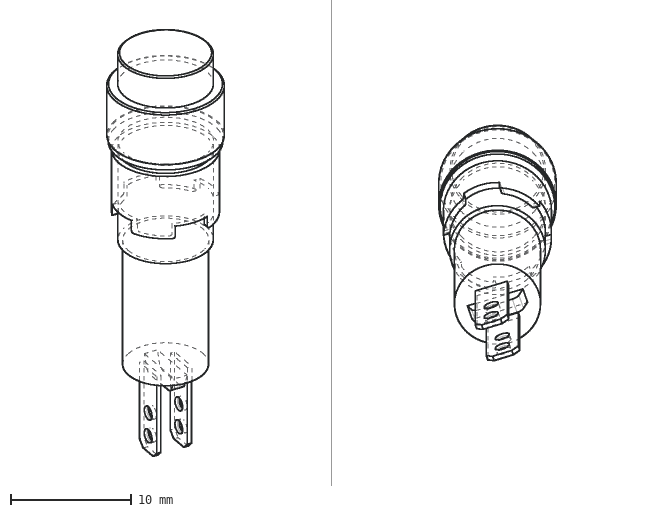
import cadquery as cq

BARREL_BOTTOM = 7.98
COLLAR_BOTTOM = 20.0
SLEEVE_BOTTOM = 22.7
SLOT_TOP = 23.85
SLEEVE_TOP = 28.7
BEZEL_BOTTOM = 29.5
BEZEL_STEP = 30.05
BEZEL_TOP = 35.0
BUTTON_TOP = 38.0

BARREL_DIAMETER = 7.2
COLLAR_DIAMETER = 7.98
SLEEVE_DIAMETER = 9.0
BEZEL_DIAMETER = 9.8
BEZEL_RIM_DIAMETER = 9.58
EDGE_BREAK = 0.15

SLOT_WIDTH = 3.1
SLOT_COUNT = 4
TAB_CORNER_RADIUS = 0.23

TERMINAL_WIDTH = 2.8
TERMINAL_THICKNESS = 0.4
TERMINAL_SPACING = 2.95
TERMINAL_CHAMFER = 0.57
TERMINAL_HOLE_DIAMETER = 1.2
TERMINAL_HOLE_HEIGHTS = (1.55, 3.75)

DIVIDER_BOTTOM = 6.42
DIVIDER_THICKNESS = 1.25
DIVIDER_TOP_WIDTH = 4.85
DIVIDER_BOTTOM_WIDTH = 3.88
DIVIDER_CORNER_RADIUS = 0.6


def cylinder(diameter, bottom, top):
    """Upright cylinder on the Z axis."""
    return cq.Workplane("XY").workplane(offset=bottom).circle(diameter / 2).extrude(top - bottom)


def make_terminal(y):
    """Flat terminal centred at y, with a chamfered tip and two holes."""
    blade = (
        cq.Workplane("XY")
        .center(0, y)
        .rect(TERMINAL_WIDTH, TERMINAL_THICKNESS)
        .extrude(BARREL_BOTTOM)
        .faces("<Z")
        .edges("|Y")
        .chamfer(TERMINAL_CHAMFER)
    )
    holes = (
        cq.Workplane("XZ", origin=(0, y, 0))
        .pushPoints([(0, height) for height in TERMINAL_HOLE_HEIGHTS])
        .circle(TERMINAL_HOLE_DIAMETER / 2)
        .extrude(TERMINAL_THICKNESS, both=True)
    )
    return blade.cut(holes)


def make_divider():
    """Trapezoidal block below the barrel, rounded at its lower corners."""
    return (
        cq.Workplane("XZ")
        .moveTo(-DIVIDER_TOP_WIDTH / 2, BARREL_BOTTOM)
        .lineTo(-DIVIDER_BOTTOM_WIDTH / 2, DIVIDER_BOTTOM)
        .lineTo(DIVIDER_BOTTOM_WIDTH / 2, DIVIDER_BOTTOM)
        .lineTo(DIVIDER_TOP_WIDTH / 2, BARREL_BOTTOM)
        .close()
        .extrude(DIVIDER_THICKNESS / 2, both=True)
        .faces("<Z")
        .edges("|Y")
        .fillet(DIVIDER_CORNER_RADIUS)
    )


def make_housing():
    """Switch body: barrel, collar, bezel, button, divider and terminals."""
    barrel = cylinder(BARREL_DIAMETER, BARREL_BOTTOM, COLLAR_BOTTOM)
    core = cylinder(COLLAR_DIAMETER, COLLAR_BOTTOM, BUTTON_TOP).faces(">Z").edges().chamfer(EDGE_BREAK)
    bezel_rim = cylinder(BEZEL_RIM_DIAMETER, BEZEL_BOTTOM, BEZEL_STEP)
    bezel = cylinder(BEZEL_DIAMETER, BEZEL_STEP, BEZEL_TOP).faces(">Z").edges().chamfer(EDGE_BREAK)
    housing = barrel.union(core).union(bezel_rim).union(bezel).union(make_divider())
    for side in (-1, 1):
        housing = housing.union(make_terminal(side * TERMINAL_SPACING / 2))
    return housing


def make_slot_cutter():
    """Slot block on the +X side that widens at its mouth to round the tab corners."""
    half_width = SLOT_WIDTH / 2
    mouth_half_width = half_width + TAB_CORNER_RADIUS
    round_start = SLEEVE_BOTTOM + TAB_CORNER_RADIUS
    return (
        cq.Workplane("YZ")
        .moveTo(-half_width, SLOT_TOP)
        .lineTo(half_width, SLOT_TOP)
        .lineTo(half_width, round_start)
        .radiusArc((mouth_half_width, SLEEVE_BOTTOM), -TAB_CORNER_RADIUS)
        .lineTo(-mouth_half_width, SLEEVE_BOTTOM)
        .radiusArc((-half_width, round_start), -TAB_CORNER_RADIUS)
        .close()
        .extrude(SLEEVE_DIAMETER)
    )


def make_sleeve():
    """Locking sleeve around the core, with tabs left between its bottom slots."""
    bore = cylinder(COLLAR_DIAMETER, SLEEVE_BOTTOM, SLEEVE_TOP)
    sleeve = cylinder(SLEEVE_DIAMETER, SLEEVE_BOTTOM, SLEEVE_TOP).cut(bore)
    slot = make_slot_cutter()
    for index in range(SLOT_COUNT):
        angle = index * 360 / SLOT_COUNT
        sleeve = sleeve.cut(slot.rotate((0, 0, 0), (0, 0, 1), angle))
    return sleeve


housing = make_housing()
sleeve = make_sleeve()

result = cq.Compound.makeCompound([housing.val(), sleeve.val()])